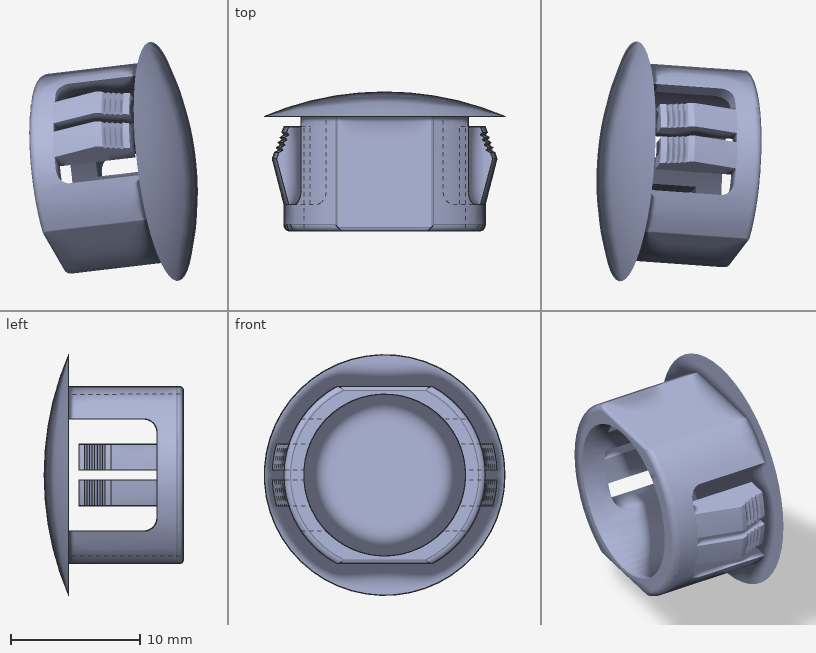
import cadquery as cq
import math


cap_radius = 9.32
cap_height = 1.9

barrel_radius = 7.8
barrel_length = 8.87
bore_radius = 6.26
flat_half_height = 6.85
barrel_end_fillet = 0.5
flat_end_fillet = 0.28
flat_side_fillet = 0.22

window_half_height = 4.32
window_length = 6.82
window_corner_radius = 1.0

latch_height = 2.01
latch_gap = 0.75
latch_tip_depth = 0.78
latch_tip_radius = 7.8
latch_crest_depth = 3.26
latch_crest_radius = 8.7

groove_count = 4
groove_start_depth = 1.23
groove_pitch = 0.4
groove_radial_depth = 0.25


def make_cap():
    """Spherical dome with a sharp rim."""
    dome_radius = (cap_radius**2 + cap_height**2) / (2 * cap_height)
    half_angle = math.asin(cap_radius / dome_radius) / 2
    arc_middle = (
        dome_radius * math.sin(half_angle),
        cap_height - dome_radius * (1 - math.cos(half_angle)),
    )
    return (
        cq.Workplane("XY")
        .lineTo(cap_radius, 0)
        .threePointArc(arc_middle, (0, cap_height))
        .close()
        .revolve(360, (0, 0, 0), (0, 1, 0))
    )


def make_barrel_blank():
    """Round barrel cut by two flats, with all outer edges rounded."""
    round_body = (
        cq.Workplane("XZ")
        .circle(barrel_radius)
        .extrude(barrel_length)
        .faces("<Y").edges().fillet(barrel_end_fillet)
    )
    flat_body = (
        cq.Workplane("XZ")
        .rect(2 * cap_radius, 2 * flat_half_height)
        .extrude(barrel_length)
        .faces("<Y").edges("|X").fillet(flat_end_fillet)
    )
    corner_x = math.sqrt(barrel_radius**2 - flat_half_height**2)
    softened_body = (
        cq.Workplane("XZ")
        .moveTo(-corner_x, flat_half_height)
        .lineTo(corner_x, flat_half_height)
        .threePointArc((barrel_radius, 0), (corner_x, -flat_half_height))
        .lineTo(-corner_x, -flat_half_height)
        .threePointArc((-barrel_radius, 0), (-corner_x, flat_half_height))
        .close()
        .extrude(barrel_length)
        .edges("|Y").fillet(flat_side_fillet)
    )
    return softened_body.intersect(round_body).intersect(flat_body)


def make_windows():
    """One cutter across both sides, open to the cap and rounded at its far end."""
    return (
        cq.Workplane("XY")
        .box(2 * cap_radius, window_length, 2 * window_half_height)
        .translate((0, -window_length / 2, 0))
        .faces("<Y").edges("|X").fillet(window_corner_radius)
    )


def make_plug():
    bore = cq.Workplane("XZ").circle(bore_radius).extrude(barrel_length)
    barrel = make_barrel_blank().cut(bore).cut(make_windows())
    return make_cap().union(barrel)


def ramp_radius(depth):
    """Outer latch radius on the straight ramp from tip to crest."""
    rise = latch_crest_radius - latch_tip_radius
    return latch_tip_radius + rise * (depth - latch_tip_depth) / (latch_crest_depth - latch_tip_depth)


def latch_outline():
    """Radius and Y of each corner of the latch section."""
    points = [(bore_radius, -latch_tip_depth), (latch_tip_radius, -latch_tip_depth)]
    for index in range(groove_count):
        ridge = groove_start_depth + index * groove_pitch
        valley = ridge + groove_pitch / 2
        points.append((ramp_radius(ridge), -ridge))
        points.append((ramp_radius(valley) - groove_radial_depth, -valley))
    last_ridge = groove_start_depth + groove_count * groove_pitch
    points.append((ramp_radius(last_ridge), -last_ridge))
    points.append((latch_crest_radius, -latch_crest_depth))
    points.append((barrel_radius, -window_length))
    points.append((bore_radius, -window_length))
    return points


def make_latch(x_side, z_side):
    """One latch: a ring of the latch section, trimmed to a flat-sided strip."""
    ring = cq.Workplane("XY").polyline(latch_outline()).close().revolve(360, (0, 0, 0), (0, 1, 0))
    strip = (
        cq.Workplane("XY")
        .box(cap_radius, window_length, latch_height)
        .translate((
            x_side * cap_radius / 2,
            -window_length / 2,
            z_side * (latch_gap + latch_height) / 2,
        ))
    )
    return ring.intersect(strip)


plug = make_plug()
latches = [make_latch(x_side, z_side) for x_side in (-1, 1) for z_side in (-1, 1)]

result = cq.Compound.makeCompound([plug.val(), *[latch.val() for latch in latches]])